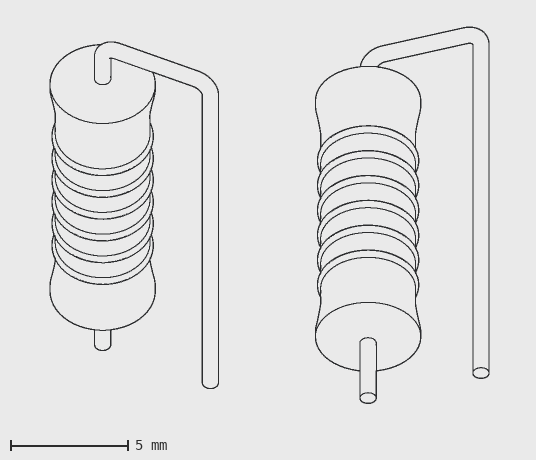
import cadquery as cq

lead_diameter = 0.7
lead_pitch = 5.08
bend_radius = 0.7
overall_height = 19.55
lead_top = overall_height - lead_diameter / 2

body_diameter = 4.05
rim_diameter = 4.5
body_bottom = 3.1
body_length = 14.0
cone_height = 0.35
rim_height = 0.3
flare_height = 1.47
flare_bow = 0.015

band_count = 6
band_pitch = 1.4
first_band_height = 6.38
band_width = 0.4
band_projection = 0.14

lead_radius = lead_diameter / 2
body_radius = body_diameter / 2
rim_radius = rim_diameter / 2
body_top = body_bottom + body_length


def make_body():
    """Revolve the body: end cones, rims, bowed flares and a straight barrel."""
    lower_rim = body_bottom + cone_height
    lower_flare = lower_rim + rim_height
    barrel_bottom = lower_flare + flare_height
    upper_rim = body_top - cone_height
    upper_flare = upper_rim - rim_height
    barrel_top = upper_flare - flare_height
    flare_middle_radius = (rim_radius + body_radius) / 2 - flare_bow
    profile = (
        cq.Workplane("XZ")
        .moveTo(0, body_bottom)
        .lineTo(lead_radius, body_bottom)
        .lineTo(rim_radius, lower_rim)
        .lineTo(rim_radius, lower_flare)
        .threePointArc(
            (flare_middle_radius, (lower_flare + barrel_bottom) / 2),
            (body_radius, barrel_bottom),
        )
        .lineTo(body_radius, barrel_top)
        .threePointArc(
            (flare_middle_radius, (barrel_top + upper_flare) / 2),
            (rim_radius, upper_flare),
        )
        .lineTo(rim_radius, upper_rim)
        .lineTo(lead_radius, body_top)
        .lineTo(0, body_top)
        .close()
    )
    return profile.revolve(360, (0, 0, 0), (0, 1, 0))


def make_band(height):
    """Revolve one rounded band; its inner part is sunk into the barrel."""
    inner_radius = body_radius / 2
    bottom = height - band_width / 2
    top = height + band_width / 2
    profile = (
        cq.Workplane("XZ")
        .moveTo(inner_radius, bottom)
        .lineTo(body_radius, bottom)
        .threePointArc((body_radius + band_projection, height), (body_radius, top))
        .lineTo(inner_radius, top)
        .close()
    )
    return profile.revolve(360, (0, 0, 0), (0, 1, 0))


def make_lead():
    """Sweep the wire up through the body, across and down beside it."""
    path = (
        cq.Workplane("XZ")
        .moveTo(0, 0)
        .lineTo(0, lead_top - bend_radius)
        .radiusArc((bend_radius, lead_top), bend_radius)
        .lineTo(lead_pitch - bend_radius, lead_top)
        .radiusArc((lead_pitch, lead_top - bend_radius), bend_radius)
        .lineTo(lead_pitch, 0)
    )
    return cq.Workplane("XY").circle(lead_radius).sweep(path)


result = make_body().union(make_lead())
for band_index in range(band_count):
    result = result.union(make_band(first_band_height + band_index * band_pitch))